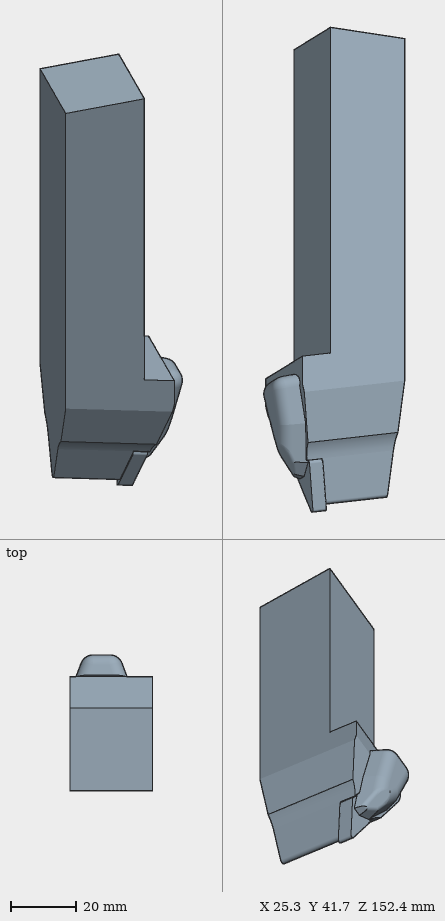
import cadquery as cq
import math

shank_width = 25.32
shank_depth = 25.4
total_height = 152.4
head_depth = 35.0
head_top_z = 45.2
oversize = 100.0

tilt = math.radians(14.0)
up_rake = cq.Vector(0, math.sin(tilt), math.cos(tilt))
outward = cq.Vector(0, math.cos(tilt), -math.sin(tilt))
head_face_w = 25.2

insert_inscribed_circle = 9.525
insert_thickness = 4.76
insert_corner_radius = 0.7
insert_top_w = 24.6
insert_seat_w = insert_top_w - insert_thickness
half_angle = math.radians(35.0 / 2)
insert_half_length = insert_inscribed_circle / 2 / math.sin(half_angle)
insert_half_width = insert_inscribed_circle / 2 / math.cos(half_angle)
insert_tip_v = insert_top_w * math.tan(tilt)
insert_tip_cutback = insert_corner_radius * (1 / math.sin(half_angle) - 1)
insert_center_v = insert_tip_v - insert_tip_cutback + insert_half_length

flank_slope = math.tan(half_angle)
shoulder_v = 41.0
groove_top_v = 26.2
groove_bottom_v = 21.4
groove_top_half_width = shank_width / 2 - (shoulder_v - groove_top_v) * flank_slope
groove_bottom_half_width = 4.9
head_nose_radius = 1.0

clamp_top_w = 31.85
clamp_end_v = 48.2
clamp_draft = 20.0
clamp_edge_radius = 4.0
clamp_side_end_v = 60.0
clamp_left_x = -13.1
clamp_right_x = 5.6
clamp_nose_start_v = 31.9
clamp_nose_left_x = -9.4
clamp_nose_right_x = 4.6
nose_corner_x = -4.2
nose_corner_v = 20.8
nose_tip_v = 17.6
nose_tip_right_x = 3.0
bevel_foot_w = 27.5
bevel_foot_v = 18.6
bevel_angle = math.radians(25.0)
bevel_edge_radius = 1.5


def tilted_plane(w):
    """Plane parallel to the rake face at height w; local x is -X, local y is V."""
    return cq.Plane(origin=(outward * w).toTuple(), xDir=(-1, 0, 0), normal=outward.toTuple())


def make_rhombus(bottom_w, top_w):
    return (
        cq.Workplane(tilted_plane(bottom_w))
        .polyline([
            (0, insert_center_v - insert_half_length),
            (insert_half_width, insert_center_v),
            (0, insert_center_v + insert_half_length),
            (-insert_half_width, insert_center_v),
        ])
        .close()
        .extrude(top_w - bottom_w)
        .edges(cq.selectors.ParallelDirSelector(outward))
        .fillet(insert_corner_radius)
    )


def make_side_body():
    """Shank and stepped head as seen along X, over the full width."""
    step_rise = (head_depth - shank_depth) * math.tan(tilt)
    face_corner_z = (head_depth * math.cos(tilt) - head_face_w) / math.sin(tilt)
    face_foot = outward * head_face_w
    return (
        cq.Workplane("YZ")
        .polyline([
            (0, total_height),
            (shank_depth, total_height),
            (shank_depth, head_top_z + step_rise),
            (head_depth, head_top_z),
            (head_depth, face_corner_z),
            (face_foot.y, face_foot.z),
            (0, face_foot.z),
        ])
        .close()
        .extrude(shank_width / 2, both=True)
    )


def groove_mid_point():
    """Middle of the left groove arc, which meets the lower flank tangentially."""
    run = groove_top_half_width - groove_bottom_half_width
    rise = groove_top_v - groove_bottom_v
    turn = math.atan2(run, rise) - half_angle
    bulge = math.tan(turn / 2) / 2
    mid_x = (groove_top_half_width + groove_bottom_half_width) / 2 - bulge * rise
    mid_v = (groove_top_v + groove_bottom_v) / 2 + bulge * run
    return (-mid_x, mid_v)


def make_flank_profile():
    """Prism along W that narrows the head from the shank width to its rounded nose."""
    sharp_v = groove_bottom_v - groove_bottom_half_width / flank_slope
    nose_center_v = sharp_v + head_nose_radius / math.sin(half_angle)
    tangent_x = head_nose_radius * math.cos(half_angle)
    tangent_v = nose_center_v - head_nose_radius * math.sin(half_angle)
    return (
        cq.Workplane(tilted_plane(-oversize))
        .moveTo(-tangent_x, tangent_v)
        .threePointArc((0, nose_center_v - head_nose_radius), (tangent_x, tangent_v))
        .lineTo(groove_bottom_half_width, groove_bottom_v)
        .tangentArcPoint((groove_top_half_width, groove_top_v), relative=False)
        .lineTo(shank_width / 2, shoulder_v)
        .lineTo(shank_width / 2, 2 * oversize)
        .lineTo(-shank_width / 2, 2 * oversize)
        .lineTo(-shank_width / 2, shoulder_v)
        .lineTo(-groove_top_half_width, groove_top_v)
        .threePointArc(groove_mid_point(), (-groove_bottom_half_width, groove_bottom_v))
        .close()
        .extrude(2 * oversize)
    )


def make_clamp():
    block = (
        cq.Workplane(tilted_plane(insert_top_w))
        .polyline([
            (-clamp_left_x, clamp_side_end_v),
            (-clamp_nose_left_x, clamp_nose_start_v),
            (-nose_corner_x, nose_corner_v),
            (0, nose_tip_v),
            (-nose_tip_right_x, nose_tip_v),
            (-clamp_nose_right_x, clamp_nose_start_v),
            (-clamp_right_x, clamp_side_end_v),
        ])
        .close()
        .extrude(clamp_top_w - insert_top_w, taper=clamp_draft)
    )
    past_end = (
        cq.Workplane(tilted_plane(0))
        .center(0, clamp_end_v + oversize / 2)
        .rect(oversize, oversize)
        .extrude(oversize)
    )
    bevel_reach = oversize * math.tan(bevel_angle)
    bevel_cut = (
        cq.Workplane(cq.Plane(origin=(0, 0, 0), xDir=outward.toTuple(), normal=(1, 0, 0)))
        .polyline([
            (bevel_foot_w - bevel_reach, bevel_foot_v - oversize),
            (bevel_foot_w + bevel_reach, bevel_foot_v + oversize),
            (bevel_foot_w + bevel_reach, bevel_foot_v - oversize),
        ])
        .close()
        .extrude(oversize, both=True)
    )
    block = block.cut(past_end).cut(bevel_cut)

    end_face = block.faces(cq.selectors.DirectionMinMaxSelector(up_rake))
    top_face = block.faces(cq.selectors.DirectionMinMaxSelector(outward))
    end_corners = end_face.edges().edges("not(|X)").vals()
    rounded = block.val().fillet(clamp_edge_radius, end_corners + top_face.edges().vals())
    bevel_normal = outward * math.cos(bevel_angle) - up_rake * math.sin(bevel_angle)
    bevel_face = max(rounded.Faces(), key=lambda face: face.normalAt().dot(bevel_normal))
    return cq.Workplane(rounded.fillet(bevel_edge_radius, bevel_face.Edges()))


def make_holder():
    head = make_side_body().intersect(make_flank_profile())
    nose_opening = (
        cq.Workplane(tilted_plane(insert_seat_w))
        .center(0, groove_bottom_v - oversize / 2)
        .rect(oversize, oversize)
        .extrude(oversize)
    )
    pocket = make_rhombus(insert_seat_w, head_face_w)
    return head.cut(nose_opening).cut(pocket).union(make_clamp())


holder = make_holder()
insert = make_rhombus(insert_seat_w, insert_top_w)
result = cq.Compound.makeCompound([holder.solids().val(), insert.val()])